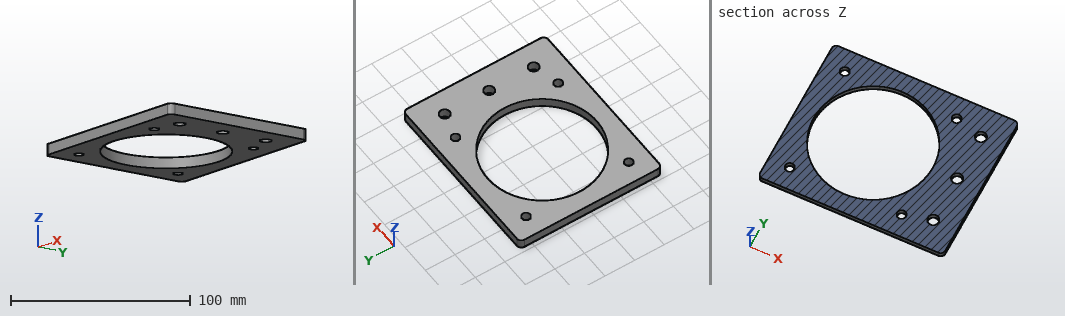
import cadquery as cq

length = 115.0
width = 96.0
thickness = 6.3
corner_radius = 3.0

opening_diameter = 73.5
opening_x = width / 2
middle_y = width / 2

bolt_spacing = 69.3
bolt_diameter = 5.4

row_x = 100.0
row_pitch = 30.0
row_diameter = 6.5
row_count = 3


def through_cutters(positions, diameter):
    """Cylinders through the full plate thickness at the given places."""
    return cq.Workplane("XY").pushPoints(positions).circle(diameter / 2).extrude(thickness)


plate = cq.Workplane("XY").box(length, width, thickness, centered=False)
plate = plate.edges("|Z").fillet(corner_radius)

opening = through_cutters([(opening_x, middle_y)], opening_diameter)

bolt_positions = [
    (opening_x + side_x * bolt_spacing / 2, middle_y + side_y * bolt_spacing / 2)
    for side_x in (-1, 1)
    for side_y in (-1, 1)
]
bolt_holes = through_cutters(bolt_positions, bolt_diameter)

row_positions = [
    (row_x, middle_y + (index - (row_count - 1) / 2) * row_pitch)
    for index in range(row_count)
]
row_holes = through_cutters(row_positions, row_diameter)

result = plate.cut(opening).cut(bolt_holes).cut(row_holes)